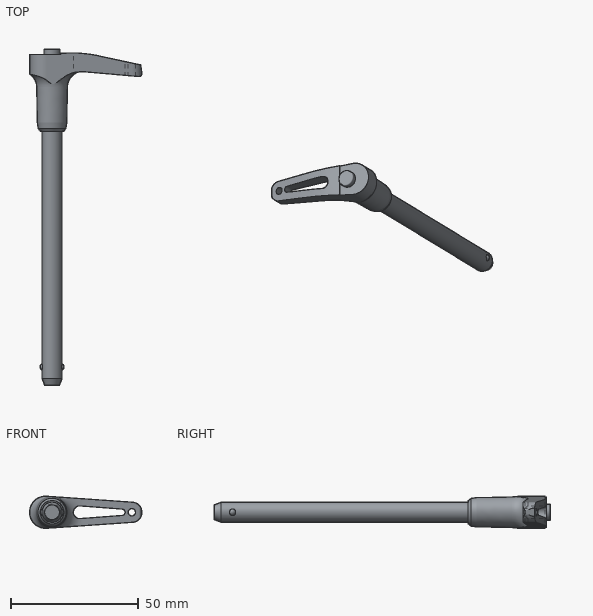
import cadquery as cq
import math


overall_length = 132.08
overall_width = 44.16
head_width = 12.7

shank_radius = 7.94 / 2
nose_length = 2.7
nose_tip_radius = 2.9

ball_radius = 1.35
ball_center_y = -92.5
ball_reach = 4.75

sleeve_top_y = 17.4
sleeve_top_radius = 6.08
sleeve_bottom_y = 3.4
sleeve_bottom_radius = 5.83
rim_y = 1.2
rim_radius = 5.5
shoulder_radius = 4.6

head_radius = head_width / 2
head_end_x = -8.85
head_top_y = 30.2
flare_radius = 6.0

button_top_y = 32.3
button_radius = 6.35 / 2
button_round = 0.4
button_depth = 1.0

handle_end_x = head_end_x + overall_width
handle_tip_radius = 4.0
underside_tip_y = 21.35
tip_top_x = handle_end_x - 0.45
tip_top_y = 26.1
tip_overhang = 0.2
tip_round = 1.2
crown_start_x = 3.4
crown_start_y = 30.7
crown_peak_x = 7.0
crown_peak_y = 30.85
crown_end_x = 20.0
crown_end_y = 29.3

slot_inner_x = 10.85
slot_inner_radius = 2.45
slot_outer_x = 27.45
slot_outer_radius = 1.2
lanyard_hole_radius = 1.4

tip_y = button_top_y - overall_length
head_center_x = head_end_x + head_radius
tip_center_x = handle_end_x - handle_tip_radius
flare_top_y = sleeve_top_y + flare_radius
flare_outer_radius = sleeve_top_radius + flare_radius


def tapered_slot(x1, r1, x2, r2):
    """Sketch in the XZ plane: two arcs on the X axis joined by their outer tangents."""
    sine = (r1 - r2) / (x2 - x1)
    cosine = math.sqrt(1 - sine**2)
    return (
        cq.Workplane("XZ")
        .moveTo(x1 + r1 * sine, r1 * cosine)
        .lineTo(x2 + r2 * sine, r2 * cosine)
        .threePointArc((x2 + r2, 0), (x2 + r2 * sine, -r2 * cosine))
        .lineTo(x1 + r1 * sine, -r1 * cosine)
        .threePointArc((x1 - r1, 0), (x1 + r1 * sine, r1 * cosine))
        .close()
    )


def along_pin(sketch):
    """Extrude an XZ sketch along Y through the full height of the head."""
    return sketch.extrude(-button_top_y)


def revolve_about_pin(profile):
    """Revolve a closed XY profile about the Y axis."""
    return profile.revolve(360, (0, 0, 0), (0, 1, 0))


def make_shank():
    return revolve_about_pin(
        cq.Workplane("XY")
        .moveTo(0, tip_y)
        .lineTo(nose_tip_radius, tip_y)
        .lineTo(shank_radius, tip_y + nose_length)
        .lineTo(shank_radius, sleeve_bottom_y)
        .lineTo(0, sleeve_bottom_y)
        .close()
    )


def make_ball(side):
    center_x = side * (ball_reach - ball_radius)
    return cq.Workplane("XY").sphere(ball_radius).translate((center_x, ball_center_y, 0))


def make_sleeve():
    return revolve_about_pin(
        cq.Workplane("XY")
        .lineTo(shoulder_radius, 0)
        .lineTo(rim_radius, rim_y)
        .lineTo(sleeve_bottom_radius, sleeve_bottom_y)
        .lineTo(sleeve_top_radius, sleeve_top_y)
        .lineTo(0, sleeve_top_y)
        .close()
    )


def make_flare():
    """Concave flare that spreads from the sleeve to the underside of the handle."""
    arc_middle = flare_radius * math.sqrt(0.5)
    return revolve_about_pin(
        cq.Workplane("XY")
        .moveTo(0, sleeve_top_y)
        .lineTo(sleeve_top_radius, sleeve_top_y)
        .threePointArc(
            (flare_outer_radius - arc_middle, sleeve_top_y + arc_middle),
            (flare_outer_radius, flare_top_y),
        )
        .lineTo(0, flare_top_y)
        .close()
    )


def make_handle_side_profile():
    """Side shape of the head and handle, as thick as the head, with a rounded lower tip."""
    blank = (
        cq.Workplane("XY")
        .moveTo(head_end_x, flare_top_y)
        .lineTo(flare_outer_radius, flare_top_y)
        .lineTo(handle_end_x + tip_overhang, underside_tip_y)
        .lineTo(tip_top_x, tip_top_y)
        .lineTo(crown_end_x, crown_end_y)
        .threePointArc((crown_peak_x, crown_peak_y), (crown_start_x, crown_start_y))
        .lineTo(crown_start_x, head_top_y)
        .lineTo(head_end_x, head_top_y)
        .close()
        .extrude(head_radius, both=True)
    )
    lower_tip_corner = cq.NearestToPointSelector((handle_end_x + tip_overhang, underside_tip_y, 0))
    return blank.edges(lower_tip_corner).fillet(tip_round)


def make_head():
    plan = along_pin(tapered_slot(head_center_x, head_radius, tip_center_x, handle_tip_radius))
    return make_handle_side_profile().union(make_flare()).intersect(plan)


def cut_openings(head):
    slot = along_pin(tapered_slot(slot_inner_x, slot_inner_radius, slot_outer_x, slot_outer_radius))
    hole = along_pin(cq.Workplane("XZ").center(tip_center_x, 0).circle(lanyard_hole_radius))
    return head.cut(slot).cut(hole)


def make_button():
    """Push button, rooted a little way below the top of the head."""
    base_y = head_top_y - button_depth
    return (
        cq.Workplane("XZ", origin=(0, base_y, 0))
        .circle(button_radius)
        .extrude(base_y - button_top_y)
        .faces(">Y")
        .edges()
        .fillet(button_round)
    )


result = cut_openings(make_head()).union(make_sleeve()).union(make_shank()).union(make_button())
for side in (-1, 1):
    result = result.union(make_ball(side))